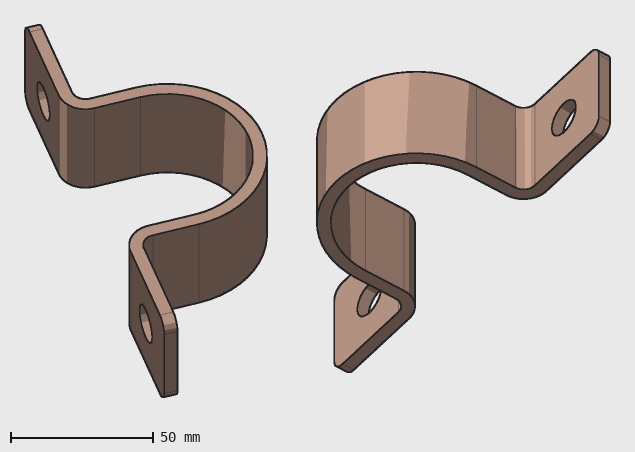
import cadquery as cq
import math

length = 155.0
depth = 62.0
width = 40.0

thickness = 5.0
saddle_outer_radius = 35.0
saddle_inner_radius = saddle_outer_radius - thickness
saddle_center_y = depth - saddle_outer_radius

bend_inner_radius = 5.0
bend_outer_radius = bend_inner_radius + thickness
bend_center_x = saddle_outer_radius + bend_inner_radius
bend_center_y = bend_outer_radius

foot_corner_radius = 5.0
hole_diameter = 14.0
hole_spacing = 114.0


def bend_midpoint(side, radius):
    """Middle of a bend arc; side is -1 for the left bend and 1 for the right."""
    reach = radius * math.sqrt(0.5)
    return side * (bend_center_x - reach), bend_center_y - reach


def make_strap():
    """Bent strip: two feet, two bends, two straight legs and a half-round saddle."""
    half_length = length / 2
    return (
        cq.Workplane("XY")
        .moveTo(-half_length, 0)
        .lineTo(-bend_center_x, 0)
        .threePointArc(bend_midpoint(-1, bend_outer_radius), (-saddle_inner_radius, bend_center_y))
        .lineTo(-saddle_inner_radius, saddle_center_y)
        .threePointArc((0, depth - thickness), (saddle_inner_radius, saddle_center_y))
        .lineTo(saddle_inner_radius, bend_center_y)
        .threePointArc(bend_midpoint(1, bend_outer_radius), (bend_center_x, 0))
        .lineTo(half_length, 0)
        .lineTo(half_length, thickness)
        .lineTo(bend_center_x, thickness)
        .threePointArc(bend_midpoint(1, bend_inner_radius), (saddle_outer_radius, bend_center_y))
        .lineTo(saddle_outer_radius, saddle_center_y)
        .threePointArc((0, depth), (-saddle_outer_radius, saddle_center_y))
        .lineTo(-saddle_outer_radius, bend_center_y)
        .threePointArc(bend_midpoint(-1, bend_inner_radius), (-bend_center_x, thickness))
        .lineTo(-half_length, thickness)
        .close()
        .extrude(width / 2, both=True)
    )


def round_foot_corners(strap):
    """Round the four outer corners of the feet."""
    return strap.faces("<X or >X").edges("|Y").fillet(foot_corner_radius)


def make_holes():
    """Cylinders for the mounting holes, one through each foot."""
    return (
        cq.Workplane("XZ")
        .pushPoints([(-hole_spacing / 2, 0), (hole_spacing / 2, 0)])
        .circle(hole_diameter / 2)
        .extrude(-thickness)
    )


result = round_foot_corners(make_strap()).cut(make_holes())